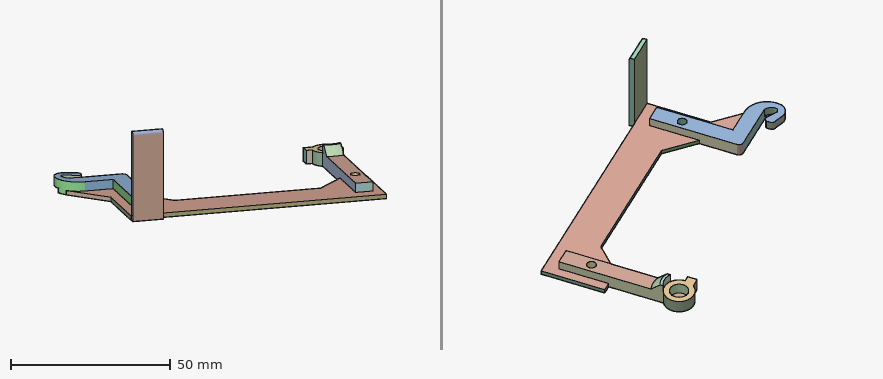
import cadquery as cq
import math

length_y = 97.1
plate_thickness = 1.5
arm_top = 4.5
wall_top = 29.0

plate_right = 49.6
plate_left = 27.9
plate_bottom = 13.3
strip_left = 36.9
web_tip_x = 16.6

arm_width = 5.6
arm_right = 44.9
screw_x = 35.0
screw_diameter = 3.0
upper_arm_y = 91.2
lower_arm_y = 19.6
upper_arm_bottom = upper_arm_y - arm_width / 2
lower_arm_bottom = lower_arm_y - arm_width / 2
lower_arm_top = lower_arm_y + arm_width / 2

ring_diameter = 10.0
ring_radius = ring_diameter / 2
ring_x = ring_radius
bore_diameter = 6.0
bore_depth = 3.8
tab_left = 1.8
tab_right = 5.1
tab_bottom = 84.2

stop_top = 7.4
stop_crest_width = 1.0
stop_crest_radius = ring_radius + stop_crest_width
stop_foot_radius = stop_crest_radius + stop_top - arm_top

leg_left = 13.5
leg_right = 18.8
corner_radius = 1.5
hook_outer_radius = 7.7
hook_outer_x = leg_right - hook_outer_radius
hook_end_radius = 3.6
hook_blend_angle = 9.5
hook_tip_lean = 21.5
tip_outer_start = (8.2, 7.6)
tip_outer_middle = (8.5, 8.5)
tip_top_left = (9.2, 8.9)
tip_top_right = (10.7, 8.9)
tip_inner_middle = (11.5, 8.3)
tip_inner_end = (11.5, 7.2)
throat_start = (9.7, 4.3)
throat_side = (9.5, 3.0)
throat_bottom = (10.8, 2.3)
throat_rise = (12.4, 2.9)
throat_end = (leg_left, 4.3)

wall_right = 51.5
wall_width = 10.0
wall_setback = 0.2
wall_edge_radius = 1.0


def make_plate():
    """Flat strip with flared ends; the lower flare reaches under the hook leg."""
    upper_flare = strip_left - plate_left
    web_drop = plate_left - web_tip_x
    outline = [
        (plate_right, length_y),
        (plate_left, length_y),
        (plate_left, upper_arm_bottom),
        (strip_left, upper_arm_bottom - upper_flare),
        (strip_left, lower_arm_top + upper_flare),
        (plate_left, lower_arm_top),
        (leg_left + corner_radius, lower_arm_y),
        (leg_left + corner_radius, hook_outer_radius),
        (web_tip_x, plate_bottom - web_drop),
        (plate_left, plate_bottom),
        (plate_right, plate_bottom),
    ]
    return cq.Workplane("XY").polyline(outline).close().extrude(plate_thickness)


def make_upper_arm():
    arm_length = arm_right - ring_x
    arm = cq.Workplane("XY").box(arm_length, arm_width, arm_top, centered=(False, True, False))
    return arm.translate((ring_x, upper_arm_y, 0))


def make_ring():
    ring = cq.Workplane("XY").center(ring_x, upper_arm_y).circle(ring_radius).extrude(arm_top)
    tab = cq.Workplane("XY").box(
        tab_right - tab_left, upper_arm_y - tab_bottom, arm_top, centered=False
    )
    return ring.union(tab.translate((tab_left, tab_bottom, 0)))


def make_stop():
    """Sector of a conical collar around the ring, cut to the width of the arm."""
    profile = [
        (ring_radius, 0),
        (stop_foot_radius, 0),
        (stop_foot_radius, arm_top),
        (stop_crest_radius, stop_top),
        (ring_radius, stop_top),
    ]
    collar = cq.Workplane("XZ").polyline(profile).close().revolve(360, (0, 0), (0, 1))
    arm_strip = cq.Workplane("XY").box(
        stop_foot_radius, arm_width, stop_top, centered=(False, True, False)
    )
    return collar.intersect(arm_strip).translate((ring_x, upper_arm_y, 0))


def point_around(center, radius, angle):
    """Point on a circle, with the angle in degrees counterclockwise from +X."""
    turn = math.radians(angle)
    return (center[0] + radius * math.cos(turn), center[1] + radius * math.sin(turn))


def make_lower_arm():
    """Arm, leg and hook; the hook left of the leg is raised to the plate's top level."""
    outer_center = (hook_outer_x, hook_outer_radius)
    blend_direction = 270 - hook_blend_angle
    end_center = point_around(outer_center, hook_outer_radius - hook_end_radius, blend_direction)
    tip_direction = 180 - hook_tip_lean
    end_middle = (blend_direction + tip_direction) / 2
    arm = (
        cq.Workplane("XY")
        .moveTo(arm_right, lower_arm_top)
        .lineTo(arm_right, lower_arm_bottom)
        .lineTo(leg_right, lower_arm_bottom)
        .lineTo(leg_right, hook_outer_radius)
        .threePointArc(
            point_around(outer_center, hook_outer_radius, 315),
            point_around(outer_center, hook_outer_radius, blend_direction),
        )
        .threePointArc(
            point_around(end_center, hook_end_radius, end_middle),
            point_around(end_center, hook_end_radius, tip_direction),
        )
        .lineTo(*tip_outer_start)
        .threePointArc(tip_outer_middle, tip_top_left)
        .lineTo(*tip_top_right)
        .threePointArc(tip_inner_middle, tip_inner_end)
        .lineTo(*throat_start)
        .threePointArc(throat_side, throat_bottom)
        .threePointArc(throat_rise, throat_end)
        .lineTo(leg_left, lower_arm_top)
        .close()
        .extrude(arm_top)
    )
    corner = cq.selectors.NearestToPointSelector((leg_left, lower_arm_top, arm_top / 2))
    arm = arm.edges("|Z").edges(corner).fillet(corner_radius)
    under_hook = cq.Workplane("XY").box(leg_left, lower_arm_bottom, plate_thickness, centered=False)
    return arm.cut(under_hook)


def make_wall():
    wall = cq.Workplane("XY").box(wall_right - plate_right, wall_width, wall_top, centered=False)
    wall = wall.edges(">X and >Z").fillet(wall_edge_radius)
    return wall.translate((plate_right, plate_bottom + wall_setback, 0))


result = make_plate()
for piece in (make_upper_arm(), make_ring(), make_stop(), make_lower_arm(), make_wall()):
    result = result.union(piece)

for arm_y in (upper_arm_y, lower_arm_y):
    hole = cq.Workplane("XY").center(screw_x, arm_y).circle(screw_diameter / 2).extrude(arm_top)
    result = result.cut(hole)

bore = (
    cq.Workplane("XY", origin=(ring_x, upper_arm_y, arm_top - bore_depth))
    .circle(bore_diameter / 2)
    .extrude(bore_depth)
)
result = result.cut(bore)